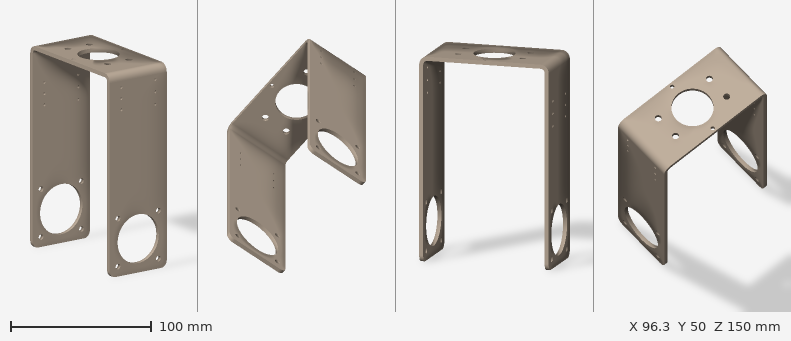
import cadquery as cq

width = 96.3
depth = 50.0
height = 150.0
thickness = 3.0
bend_inner_radius = 3.0
bend_outer_radius = bend_inner_radius + thickness
foot_corner_radius = 5.0

web_bore_diameter = 30.0
web_bolt_diameter = 5.0
web_bolt_spacing_x = 48.0
web_bolt_spacing_y = 18.8
web_pin_diameter = 3.0
web_pin_spacing = 44.0

left_bore_diameter = 37.0
right_bore_diameter = 36.0
bore_height = depth / 2
leg_bolt_diameter = 4.0
leg_bolt_spacing = 35.4

small_hole_diameter = 2.0
small_column_y = 14.8
small_rows = 3
left_rows_height = 112.6
right_rows_height = 130.8
back_row_pitch = 9.2
front_row_pitch = 8.2


def bent_strip():
    """U-shaped strip with rounded bends and rounded foot corners."""
    outer = (
        cq.Workplane("XY").box(width, depth, height, centered=(True, True, False))
        .edges("|Y and >Z").fillet(bend_outer_radius)
    )
    inner = (
        cq.Workplane("XY")
        .box(width - 2 * thickness, depth, height - thickness, centered=(True, True, False))
        .edges("|Y and >Z").fillet(bend_inner_radius)
    )
    return outer.cut(inner).edges("|X and <Z").fillet(foot_corner_radius)


def web_holes():
    """Cutters for the bore, four bolt holes and two pin holes in the web."""
    plane = cq.Workplane("XY", origin=(0, 0, height - thickness))
    bore = plane.circle(web_bore_diameter / 2).extrude(thickness)
    bolts = (
        plane.rect(web_bolt_spacing_x, web_bolt_spacing_y, forConstruction=True).vertices()
        .circle(web_bolt_diameter / 2).extrude(thickness)
    )
    pins = plane.rarray(1.5, web_pin_spacing, 1, 2).circle(web_pin_diameter / 2).extrude(thickness)
    return bore.union(bolts).union(pins)


def leg_holes(start_x, bore_diameter, rows_height):
    """Cutters for one leg, starting at start_x and running one thickness along +X."""
    plane = cq.Workplane("YZ", origin=(start_x, 0, bore_height))
    cutters = plane.circle(bore_diameter / 2).extrude(thickness)
    bolts = (
        plane.rect(leg_bolt_spacing, leg_bolt_spacing, forConstruction=True).vertices()
        .circle(leg_bolt_diameter / 2).extrude(thickness)
    )
    cutters = cutters.union(bolts)
    for column_y, pitch in ((small_column_y, back_row_pitch), (-small_column_y, front_row_pitch)):
        column = (
            cq.Workplane("YZ", origin=(start_x, column_y, rows_height))
            .rarray(1.5, pitch, 1, small_rows)
            .circle(small_hole_diameter / 2).extrude(thickness)
        )
        cutters = cutters.union(column)
    return cutters


left_leg_holes = leg_holes(-width / 2, left_bore_diameter, left_rows_height)
right_leg_holes = leg_holes(width / 2 - thickness, right_bore_diameter, right_rows_height)

result = bent_strip().cut(web_holes()).cut(left_leg_holes).cut(right_leg_holes)